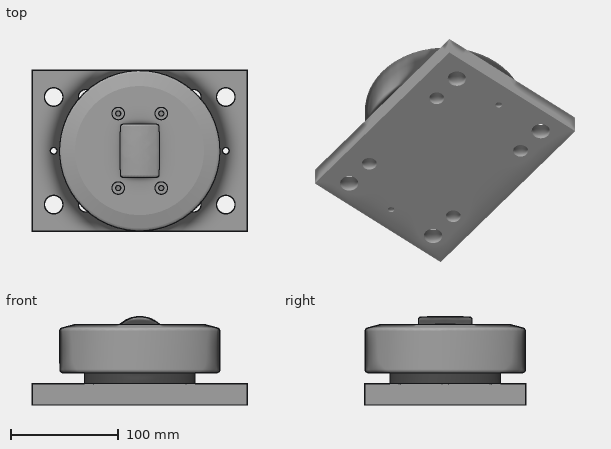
import cadquery as cq
import math

plate_length = 200.0
plate_width = 150.0
plate_thickness = 20.0
corner_hole_diameter = 17.0
corner_hole_spacing_x = 160.0
corner_hole_spacing_y = 100.0
inner_hole_diameter = 13.8
inner_hole_spacing = 100.0
pin_hole_diameter = 6.0

neck_diameter = 103.0
neck_height = 10.0
head_diameter = 149.0
head_height = 45.0
head_flat_diameter = 120.0
head_slope_angle = 15.0
head_edge_radius = 3.0

crown_rise = 7.5
crown_radius = 27.0
crown_width = 36.5
crown_end_drop = 0.5
crown_length = 50.0
crown_edge_radius = 2.5

seat_diameter = 11.5
seat_depth = 0.2
socket_diameter = 4.8
socket_depth = 1.0
screw_circle_radius = 40.0
screw_angle = 60.0

head_bottom = plate_thickness + neck_height
head_top = head_bottom + head_height


def make_plate():
    """Rectangular plate with its bottom at Z = 0 and all holes through."""
    plate = cq.Workplane("XY").box(
        plate_length, plate_width, plate_thickness, centered=(True, True, False)
    )
    top = plate.faces(">Z").workplane()
    plate = top.rarray(
        corner_hole_spacing_x, corner_hole_spacing_y, 2, 2
    ).hole(corner_hole_diameter)
    top = plate.faces(">Z").workplane()
    plate = top.rarray(inner_hole_spacing, inner_hole_spacing, 2, 2).hole(inner_hole_diameter)
    top = plate.faces(">Z").workplane()
    return top.rarray(corner_hole_spacing_x, 2, 2, 1).hole(pin_hole_diameter)


def make_neck():
    return cq.Workplane("XY", origin=(0, 0, plate_thickness)).circle(neck_diameter / 2).extrude(neck_height)


def make_head():
    """Revolved head with a sloping top border and rounded outer edges."""
    head_radius = head_diameter / 2
    flat_radius = head_flat_diameter / 2
    slope_drop = (head_radius - flat_radius) * math.tan(math.radians(head_slope_angle))
    head = (
        cq.Workplane("XZ")
        .moveTo(0, head_bottom)
        .lineTo(head_radius, head_bottom)
        .lineTo(head_radius, head_top - slope_drop)
        .lineTo(flat_radius, head_top)
        .lineTo(0, head_top)
        .close()
        .revolve(360, (0, 0, 0), (0, 1, 0))
    )
    outer_edges = cq.selectors.RadiusNthSelector(-1)
    return head.edges(outer_edges).fillet(head_edge_radius)


def make_crown():
    """Barrel along Y, trimmed to a rectangle, with rounded end edges."""
    axis_height = head_top + crown_rise - crown_radius
    half_length = crown_length / 2
    end_radius = crown_radius - crown_end_drop
    barrel = (
        cq.Workplane("XY", origin=(0, 0, axis_height))
        .moveTo(0, -half_length)
        .lineTo(end_radius, -half_length)
        .threePointArc((crown_radius, 0), (end_radius, half_length))
        .lineTo(0, half_length)
        .close()
        .revolve(360, (0, 0, 0), (0, 1, 0))
        .faces("<Y or >Y")
        .edges()
        .fillet(crown_edge_radius)
    )
    trim_height = head_height + crown_rise
    trim_block = (
        cq.Workplane("XY", origin=(0, 0, head_bottom))
        .rect(crown_width, crown_length)
        .extrude(trim_height)
    )
    return barrel.intersect(trim_block)


def make_screw_cuts():
    """Seats and sockets at the four mirrored screw positions."""
    angle = math.radians(screw_angle)
    spacing_x = 2 * screw_circle_radius * math.cos(angle)
    spacing_y = 2 * screw_circle_radius * math.sin(angle)
    positions = cq.Workplane("XY", origin=(0, 0, head_top)).rarray(spacing_x, spacing_y, 2, 2)
    seats = positions.circle(seat_diameter / 2).extrude(-seat_depth)
    sockets = positions.circle(socket_diameter / 2).extrude(-seat_depth - socket_depth)
    return seats.union(sockets)


result = (
    make_plate()
    .union(make_neck())
    .union(make_head())
    .union(make_crown())
    .cut(make_screw_cuts())
)